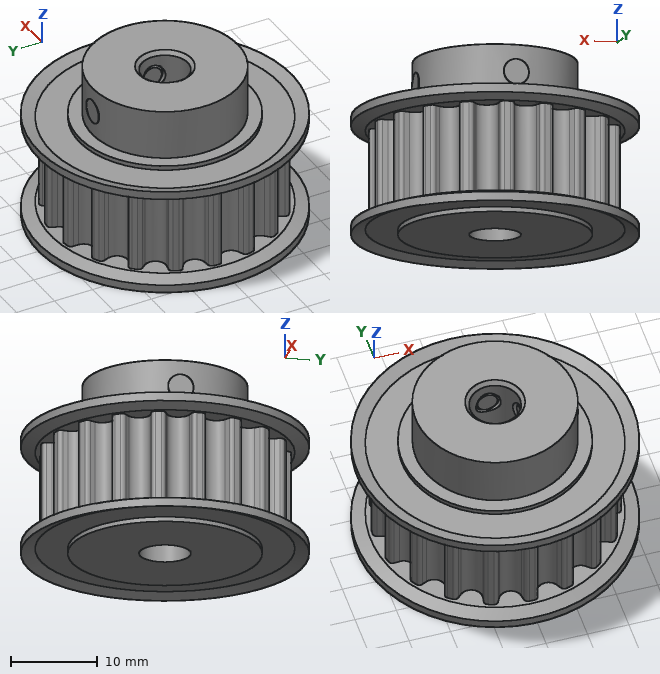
import cadquery as cq
import math

FLANGE_RADIUS = 16.65
TOTAL_HEIGHT = 20.3
WHEEL_HEIGHT = 13.92

RIM_THICKNESS = 1.03
DISH_DEPTH = 0.55
DISH_RADIUS = 15.0
COLLAR_RADIUS = 11.22

TOOTH_COUNT = 19
TIP_RADIUS = 14.55
GAP_DEPTH = 2.03
GAP_RADIUS = 1.35
FLANK_ANGLE = 19
TIP_FILLET = 0.5
CUT_CLEARANCE = 0.33
TIP_TOLERANCE = 0.03

HUB_RADIUS = 9.55
BORE_RADIUS = 3.0
BORE_CHAMFER = 0.45
SCREW_RADIUS = 1.5
SCREW_CHAMFER = 0.3

FLANGE_HEIGHT = RIM_THICKNESS + DISH_DEPTH
CORE_HEIGHT = WHEEL_HEIGHT - 2 * FLANGE_HEIGHT
HUB_HEIGHT = TOTAL_HEIGHT - WHEEL_HEIGHT
SCREW_Z = WHEEL_HEIGHT + HUB_HEIGHT / 2


def cylinder(radius, height, z):
    return cq.Workplane("XY").workplane(offset=z).circle(radius).extrude(height)


def lower_flange():
    """Sheet flange with its web dished up towards the teeth, around a flush collar."""
    profile = [
        (0, 0),
        (COLLAR_RADIUS, 0),
        (COLLAR_RADIUS, DISH_DEPTH),
        (DISH_RADIUS, DISH_DEPTH),
        (FLANGE_RADIUS, 0),
        (FLANGE_RADIUS, RIM_THICKNESS),
        (DISH_RADIUS, FLANGE_HEIGHT),
        (0, FLANGE_HEIGHT),
    ]
    return cq.Workplane("XZ").polyline(profile).close().revolve(360, (0, 0, 0), (0, 1, 0))


def toothed_core():
    """Cylinder cut by evenly spaced tooth gaps, with a tooth centred on -Y."""
    core = cylinder(TIP_RADIUS, CORE_HEIGHT, FLANGE_HEIGHT)
    pitch = 360 / TOOTH_COUNT
    flank = math.radians(FLANK_ANGLE)
    gap_bottom = TIP_RADIUS - GAP_DEPTH
    flank_start_x = gap_bottom + GAP_RADIUS * (1 - math.sin(flank))
    flank_start_y = GAP_RADIUS * math.cos(flank)
    flank_end_x = TIP_RADIUS + CUT_CLEARANCE
    flank_end_y = flank_start_y + (flank_end_x - flank_start_x) * math.tan(flank)
    gap = (
        cq.Workplane("XY")
        .workplane(offset=FLANGE_HEIGHT)
        .moveTo(flank_end_x, -flank_end_y)
        .lineTo(flank_start_x, -flank_start_y)
        .threePointArc((gap_bottom, 0), (flank_start_x, flank_start_y))
        .lineTo(flank_end_x, flank_end_y)
        .close()
        .extrude(CORE_HEIGHT)
    )
    for index in range(TOOTH_COUNT):
        angle = -90 + (index + 0.5) * pitch
        core = core.cut(gap.rotate((0, 0, 0), (0, 0, 1), angle))

    tip_corners = core.edges("|Z").filter(
        lambda edge: math.hypot(edge.Center().x, edge.Center().y) > TIP_RADIUS - TIP_TOLERANCE
    )
    return tip_corners.fillet(TIP_FILLET)


def bore():
    """Through bore with a chamfered mouth at the hub face."""
    profile = [
        (0, 0),
        (BORE_RADIUS, 0),
        (BORE_RADIUS, TOTAL_HEIGHT - BORE_CHAMFER),
        (BORE_RADIUS + BORE_CHAMFER, TOTAL_HEIGHT),
        (0, TOTAL_HEIGHT),
    ]
    return cq.Workplane("XZ").polyline(profile).close().revolve(360, (0, 0, 0), (0, 1, 0))


def radial_rod(length):
    """Rod of screw diameter lying along +X at screw height, starting at the axis."""
    return cq.Workplane("YZ").center(0, SCREW_Z).circle(SCREW_RADIUS).extrude(length)


def set_screw():
    """Screw along +X from the bore radius to the hub radius, chamfered at its inner end."""
    screw = radial_rod(HUB_RADIUS - BORE_RADIUS)
    return screw.faces("<X").chamfer(SCREW_CHAMFER).translate((BORE_RADIUS, 0, 0))


bottom_flange = lower_flange()
top_flange = bottom_flange.mirror("XY").translate((0, 0, WHEEL_HEIGHT))
hub = cylinder(HUB_RADIUS, HUB_HEIGHT, WHEEL_HEIGHT)
result = toothed_core().union(bottom_flange).union(top_flange).union(hub).cut(bore())

for screw_angle in (0, 90):
    screw_hole = radial_rod(HUB_RADIUS)
    result = result.cut(screw_hole.rotate((0, 0, 0), (0, 0, 1), screw_angle))
    result = result.union(set_screw().rotate((0, 0, 0), (0, 0, 1), screw_angle))